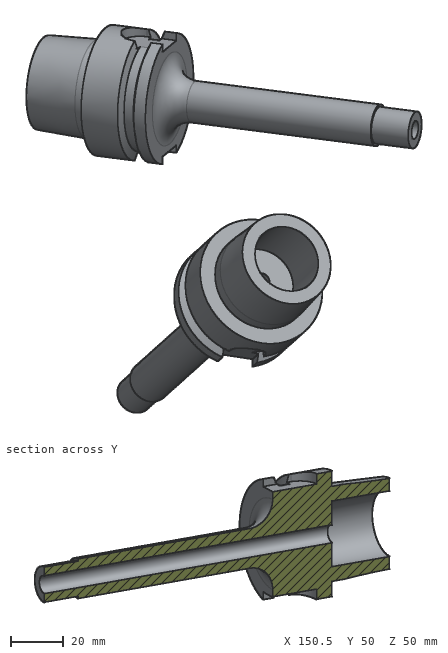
import cadquery as cq
import math

overall_length = 150.5
taper_end = 20.0
flange_start = 25.0
groove_start = 39.7
groove_floor_start = 41.0
groove_floor_end = 44.7
groove_end = 46.4
flange_end = 51.0
tip_length = 14.9
tip_start = overall_length - tip_length

shank_end_radius = 18.0
shank_radius = 19.0
flange_radius = 25.0
groove_radius = 21.4
stem_radius = 8.0
tip_radius = 7.0
neck_fillet_radius = 10.0
socket_radius = 13.0
bore_radius = 3.5

slot_radius = 7.0
slot_center = 39.0
slot_floor_height = 20.9

socket_depth = flange_start


def turned_body():
    """Solid of revolution: tapered shank, grooved flange, neck, stem and tip."""
    neck_end = flange_end + neck_fillet_radius
    neck_outer_radius = stem_radius + neck_fillet_radius
    arc_offset = neck_fillet_radius * (1 - math.sqrt(0.5))
    return (
        cq.Workplane("XY")
        .lineTo(0, shank_end_radius)
        .lineTo(taper_end, shank_radius)
        .lineTo(flange_start, shank_radius)
        .lineTo(flange_start, flange_radius)
        .lineTo(groove_start, flange_radius)
        .lineTo(groove_floor_start, groove_radius)
        .lineTo(groove_floor_end, groove_radius)
        .lineTo(groove_end, flange_radius)
        .lineTo(flange_end, flange_radius)
        .lineTo(flange_end, neck_outer_radius)
        .threePointArc(
            (flange_end + arc_offset, stem_radius + arc_offset),
            (neck_end, stem_radius),
        )
        .lineTo(tip_start, stem_radius)
        .lineTo(tip_start, tip_radius)
        .lineTo(overall_length, tip_radius)
        .lineTo(overall_length, 0)
        .close()
        .revolve(360, (0, 0, 0), (1, 0, 0))
    )


def axial_hole(radius, depth):
    """Cylinder along X, starting at the open shank end."""
    return cq.Workplane("YZ").circle(radius).extrude(depth)


def drive_slot():
    """Round-ended slot above the flat floor, open at the stem side of the flange."""
    return (
        cq.Workplane("XY", origin=(0, 0, slot_floor_height))
        .moveTo(flange_end, -slot_radius)
        .lineTo(slot_center, -slot_radius)
        .threePointArc((slot_center - slot_radius, 0), (slot_center, slot_radius))
        .lineTo(flange_end, slot_radius)
        .close()
        .extrude(flange_radius - slot_floor_height)
    )


body = turned_body()
body = body.cut(axial_hole(socket_radius, socket_depth))
body = body.cut(axial_hole(bore_radius, overall_length))
for angle in (0, 180):
    body = body.cut(drive_slot().rotate((0, 0, 0), (1, 0, 0), angle))

result = body